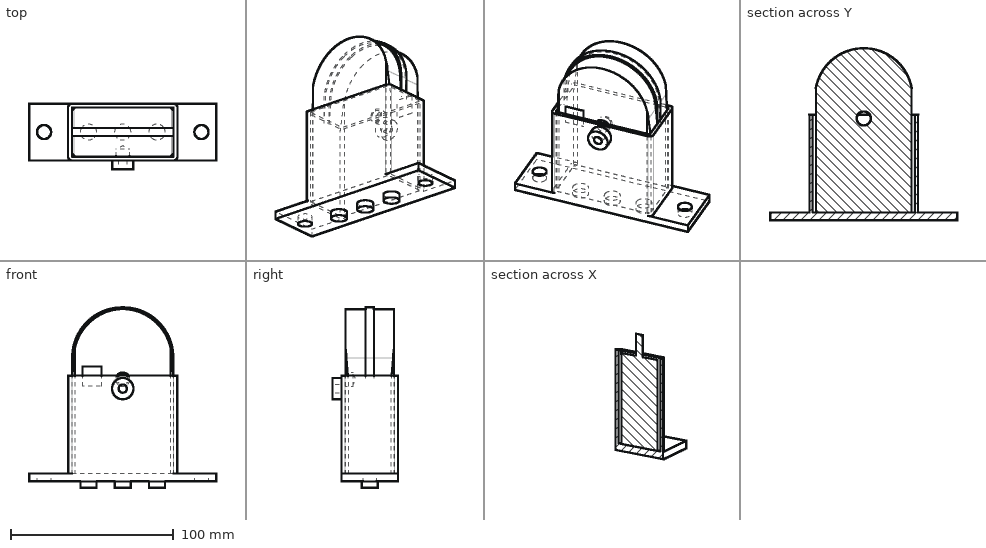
import cadquery as cq
import math

plate_length = 115.0
plate_depth = 35.0
plate_thickness = 5.0
mount_hole_radius = 4.3
mount_hole_x = 48.3

tube_length = 67.2
tube_top = 65.0
wall = 2.3
tube_corner_radius = 2.4
cavity_corner_radius = 0.6
cavity_length = tube_length - 2 * wall
cavity_depth = plate_depth - 2 * wall

boss_radius = 6.5
boss_bore_radius = 2.5
boss_length = 5.5
boss_z = 56.9

foot_radius = 5.0
foot_height = 4.0
foot_spacing = 21.0
foot_count = 3

block_depth = 30.0
arch_radius = 30.0
rib_radius = 31.2
rib_width = 5.1
block_top = 107.0
arch_z = block_top - rib_radius
flare_bottom = 62.1
edge_half_width = 29.3

recess_z = 62.6
recess_radius = 4.3
recess_depth = 4.6
cone_radius = 3.3
drill_point_angle = 118.0
cone_depth = cone_radius / math.tan(math.radians(drill_point_angle / 2))

panel_left = -24.8
panel_size = 11.8
panel_top = 70.5
panel_depth = 0.1


def make_housing():
    """Flanged rectangular tube with a boss on its front wall, bored as far as the wall."""
    plate = (
        cq.Workplane("XY")
        .box(plate_length, plate_depth, plate_thickness, centered=(True, True, False))
        .faces(">Z")
        .workplane()
        .pushPoints([(-mount_hole_x, 0), (mount_hole_x, 0)])
        .hole(2 * mount_hole_radius)
    )
    tube = (
        cq.Workplane("XY", origin=(0, 0, plate_thickness))
        .box(tube_length, plate_depth, tube_top - plate_thickness, centered=(True, True, False))
        .edges("|Z")
        .fillet(tube_corner_radius)
    )
    cavity = (
        cq.Workplane("XY", origin=(0, 0, plate_thickness))
        .box(cavity_length, cavity_depth, tube_top - plate_thickness, centered=(True, True, False))
        .edges("|Z")
        .fillet(cavity_corner_radius)
    )
    front_wall = cq.Workplane("XZ", origin=(0, -plate_depth / 2, boss_z))
    boss = front_wall.circle(boss_radius).extrude(boss_length)
    bore = front_wall.circle(boss_bore_radius).extrude(boss_length)
    return plate.union(tube).cut(cavity).union(boss).cut(bore)


def arched_slab(radius, depth):
    """Slab centred on Y with a round top, widening downwards to the width of the rib."""
    outline = (
        cq.Workplane("XZ")
        .moveTo(-rib_radius, plate_thickness)
        .lineTo(rib_radius, plate_thickness)
        .lineTo(rib_radius, flare_bottom)
        .lineTo(radius, arch_z)
        .threePointArc((0, arch_z + radius), (-radius, arch_z))
        .lineTo(-rib_radius, flare_bottom)
        .close()
    )
    return outline.extrude(depth / 2, both=True)


def make_block():
    """Sliding block with chamfered corners, rib, recess and panel."""
    half_depth = block_depth / 2
    corner_cut = rib_radius - edge_half_width
    envelope = (
        cq.Workplane("XY")
        .rect(2 * rib_radius, block_depth)
        .extrude(block_top)
        .edges("|Z")
        .chamfer(corner_cut)
    )
    block = arched_slab(arch_radius, block_depth).intersect(envelope)
    block = block.union(arched_slab(rib_radius, rib_width))

    counterbore = (
        cq.Workplane("XZ", origin=(0, -half_depth, recess_z))
        .circle(recess_radius)
        .extrude(-recess_depth)
    )
    cone = cq.Workplane(
        cq.Solid.makeCone(
            cone_radius, 0, cone_depth,
            pnt=cq.Vector(0, recess_depth - half_depth, recess_z),
            dir=cq.Vector(0, 1, 0),
        )
    )
    panel = (
        cq.Workplane("XZ", origin=(panel_left, -half_depth, panel_top - panel_size))
        .rect(panel_size, panel_size, centered=False)
        .extrude(-panel_depth)
    )
    return block.cut(counterbore).cut(cone).cut(panel)


def make_foot(x):
    """Round foot on the underside of the plate."""
    return cq.Workplane("XY", origin=(x, 0, 0)).circle(foot_radius).extrude(-foot_height)


housing = make_housing()
block = make_block()
feet = [make_foot((i - (foot_count - 1) / 2) * foot_spacing) for i in range(foot_count)]

result = cq.Compound.makeCompound([housing.val(), block.val(), *[foot.val() for foot in feet]])